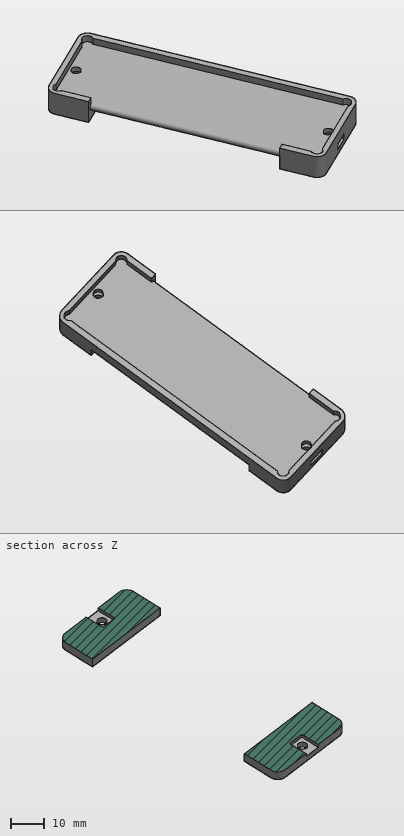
import cadquery as cq

length = 88.0
width = 30.0
height = 8.0
corner_radius = 3.0

end_wall = 1.8
side_wall = 1.95
tray_depth = 2.3
corner_relief_radius = 1.7

foot_length = 13.7
plate_thickness = 2.1

hole_diameter = 3.0
hole_edge_distance = 4.0

slot_width = 5.2
slot_height = 2.0
slot_bottom = 2.0
slot_depth = hole_edge_distance + slot_width / 2

tray_floor = height - tray_depth
plate_bottom = tray_floor - plate_thickness
tray_length = length - 2 * end_wall
tray_width = width - 2 * side_wall
span_length = length - 2 * foot_length


def box_on(size_x, size_y, size_z, bottom):
    """Box centred in X and Y, standing on the level `bottom`."""
    return cq.Workplane("XY").workplane(offset=bottom).rect(size_x, size_y).extrude(size_z)


def make_body():
    return box_on(length, width, height, 0).edges("|Z").fillet(corner_radius)


def make_tray_cut():
    """Tray pocket with a round relief at the centre of each outer corner."""
    pocket = box_on(tray_length, tray_width, tray_depth, tray_floor)
    reliefs = (
        cq.Workplane("XY")
        .workplane(offset=tray_floor)
        .rect(length - 2 * corner_radius, width - 2 * corner_radius, forConstruction=True)
        .vertices()
        .circle(corner_relief_radius)
        .extrude(tray_depth)
    )
    return pocket.union(reliefs)


def make_span_cuts():
    """Clear the space under the plate and the front wall between the feet."""
    under_plate = box_on(span_length, width, plate_bottom, 0)
    front_wall = box_on(span_length, side_wall, height, 0)
    return under_plate.union(front_wall.translate((0, (side_wall - width) / 2, 0)))


def make_rounded_edge():
    """Round bar along the front edge of the plate, as thick as the plate."""
    return (
        cq.Workplane("YZ")
        .workplane(offset=-span_length / 2)
        .center(-tray_width / 2, tray_floor - plate_thickness / 2)
        .circle(plate_thickness / 2)
        .extrude(span_length)
    )


def make_screw_holes():
    hole_x = length / 2 - hole_edge_distance
    return (
        cq.Workplane("XY")
        .pushPoints([(-hole_x, 0), (hole_x, 0)])
        .circle(hole_diameter / 2)
        .extrude(height)
    )


def make_nut_slots():
    slot = box_on(slot_depth, slot_width, slot_height, slot_bottom)
    slot_x = (length - slot_depth) / 2
    return slot.translate((-slot_x, 0, 0)).union(slot.translate((slot_x, 0, 0)))


result = (
    make_body()
    .cut(make_tray_cut())
    .cut(make_span_cuts())
    .union(make_rounded_edge())
    .cut(make_screw_holes())
    .cut(make_nut_slots())
)